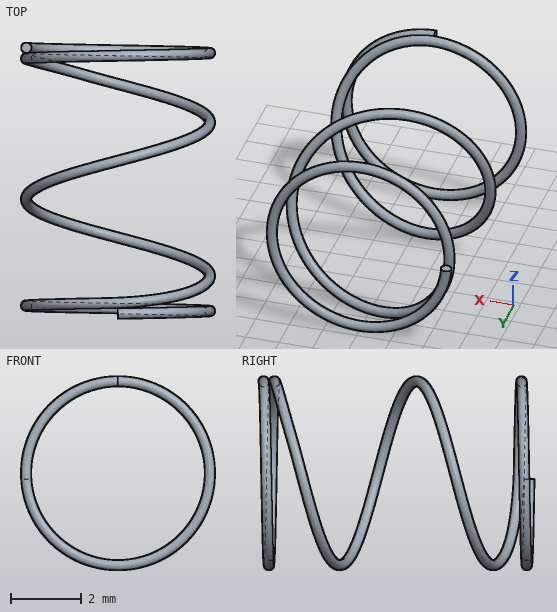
import cadquery as cq
import math

outer_diameter = 5.54
length = 7.88
wire_diameter = 0.3
closed_pitch = 0.31
closed_turns = 0.98
active_turns = 1.78
blend_turns = 0.2
sample_count = 90

coil_radius = (outer_diameter - wire_diameter) / 2
total_turns = 2 * closed_turns + active_turns
half_turns = total_turns / 2
half_rise = (length - wire_diameter) / 2

active_rise = 2 * (half_rise - closed_pitch * closed_turns)
active_pitch = (active_rise - closed_pitch * blend_turns) / (active_turns - blend_turns)

def axial_position(turns):
    """Y of the wire centre, with a linear pitch ramp between closed and active coils."""
    from_middle = turns - half_turns
    distance = abs(from_middle)
    ramp_start = active_turns / 2 - blend_turns
    into_ramp = min(max(distance - ramp_start, 0), blend_turns)
    past_ramp = max(distance - active_turns / 2, 0)
    pitch_drop = active_pitch - closed_pitch
    rise = active_pitch * distance - pitch_drop * (into_ramp**2 / (2 * blend_turns) + past_ramp)
    return math.copysign(rise, from_middle)

def wire_centre(turns):
    """Point on the wire centreline, starting at the top and turning towards +X."""
    angle = 2 * math.pi * turns
    return cq.Vector(
        coil_radius * math.sin(angle),
        axial_position(turns),
        coil_radius * math.cos(angle),
    )

centre_points = [wire_centre(total_turns * i / sample_count) for i in range(sample_count + 1)]
centreline = cq.Workplane("XY").spline(centre_points)

start_plane = cq.Plane(origin=centre_points[0].toTuple(), xDir=(0, 1, 0), normal=(1, 0, 0))
section = cq.Workplane(start_plane).circle(wire_diameter / 2)
result = section.sweep(centreline)